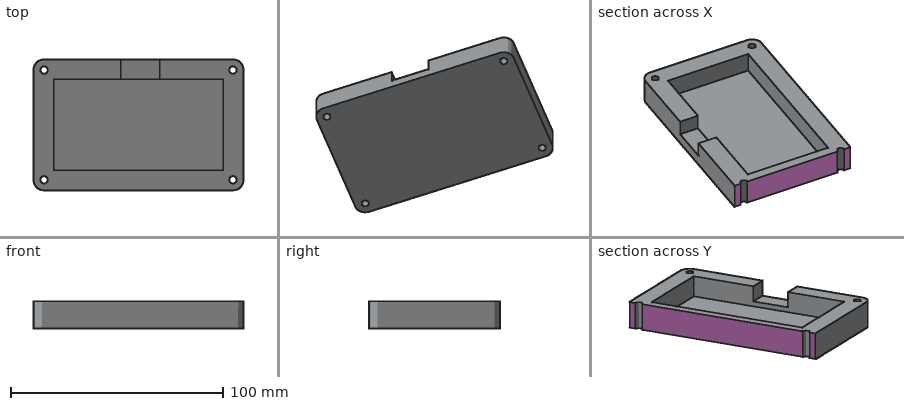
import cadquery as cq

length = 99.0
width = 61.8
height = 13.0
corner_radius = 5.0

hole_diameter = 3.4
hole_spacing_x = length - 2 * corner_radius
hole_spacing_y = width - 2 * corner_radius

wall = 9.5
pocket_length = length - 2 * wall
pocket_width = width - 2 * wall
pocket_depth = 10.0

notch_width = 18.4
notch_depth = 7.5
notch_offset = 0.8


def make_block():
    """Block standing on Z = 0 with rounded vertical corners."""
    block = cq.Workplane("XY").box(length, width, height, centered=(True, True, False))
    return block.edges("|Z").fillet(corner_radius)


def cut_pocket(body):
    """Sink the rectangular pocket into the top face."""
    pocket = (
        cq.Workplane("XY", origin=(0, 0, height - pocket_depth))
        .rect(pocket_length, pocket_width)
        .extrude(pocket_depth)
    )
    return body.cut(pocket)


def cut_notch(body):
    """Open the +Y wall from the pocket to the outside."""
    notch = (
        cq.Workplane("XY", origin=(notch_offset, 0, height - notch_depth))
        .box(notch_width, width / 2, notch_depth, centered=(True, False, False))
    )
    return body.cut(notch)


def cut_screw_holes(body):
    """Drill a through hole at each corner."""
    holes = (
        cq.Workplane("XY")
        .rect(hole_spacing_x, hole_spacing_y, forConstruction=True)
        .vertices()
        .circle(hole_diameter / 2)
        .extrude(height)
    )
    return body.cut(holes)


result = cut_screw_holes(cut_notch(cut_pocket(make_block())))